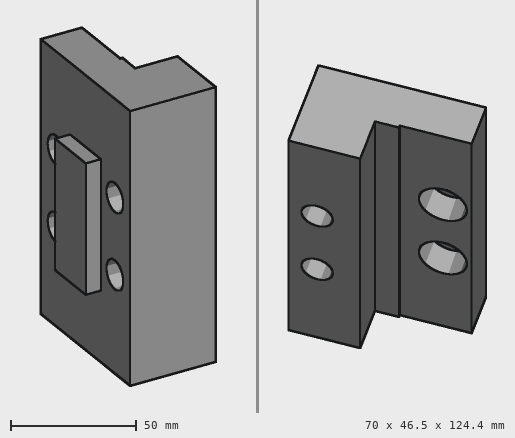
import cadquery as cq

width = 70.0
height = 124.4
block_depth = 39.5

thin_depth = 19.0
raised_depth = 20.0
raised_start = 30.0
wall_start = 40.0

pad_width = 24.0
pad_height = 59.5
pad_depth = 7.0

hole_diameter = 13.0
counterbore_diameter = 20.0
counterbore_floor = 7.0
hole_spacing_x = 46.0
hole_spacing_z = 35.0


def stepped_block():
    """L-shaped block with a shallow step beside the thick side; front face at Y = 0."""
    outline = [
        (0, 0),
        (width, 0),
        (width, block_depth),
        (wall_start, block_depth),
        (wall_start, raised_depth),
        (raised_start, raised_depth),
        (raised_start, thin_depth),
        (0, thin_depth),
    ]
    return cq.Workplane("XY").polyline(outline).close().extrude(height)


def front_plane():
    """Workplane on the front face, centred, with its normal toward -Y."""
    return cq.Workplane("XZ", origin=(width / 2, 0, height / 2))


def front_pad():
    return front_plane().rect(pad_width, pad_height).extrude(pad_depth)


def hole_column(diameter, x_offset, start_depth):
    """Two stacked cylinders running from start_depth behind the front face out of the rear."""
    z_offset = hole_spacing_z / 2
    return (
        front_plane()
        .workplane(offset=-start_depth)
        .pushPoints([(x_offset, -z_offset), (x_offset, z_offset)])
        .circle(diameter / 2)
        .extrude(start_depth - block_depth)
    )


result = stepped_block().union(front_pad())
for hole_x in (-hole_spacing_x / 2, hole_spacing_x / 2):
    result = result.cut(hole_column(hole_diameter, hole_x, 0))
result = result.cut(hole_column(counterbore_diameter, -hole_spacing_x / 2, counterbore_floor))